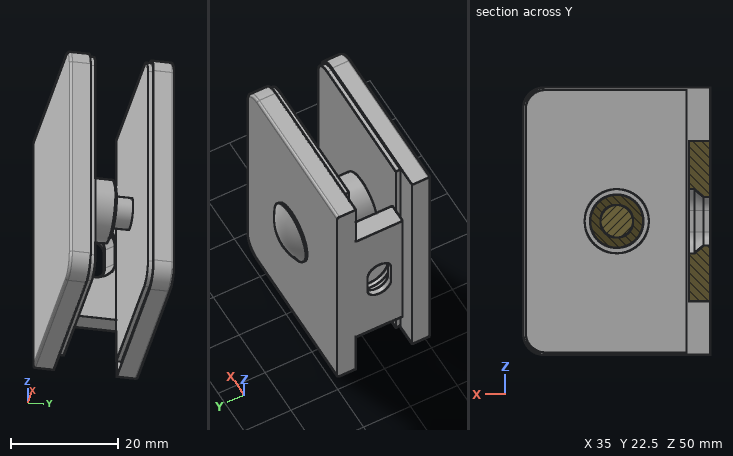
import cadquery as cq
import math

WIDTH = 35.0
HEIGHT = 50.0
PLATE_THICKNESS = 4.0
CORNER_RADIUS = 4.0
EDGE_ROUND = 0.5

GASKET_THICKNESS = 1.0
GASKET_INSET = 0.5
GASKET_START_X = 4.5
GLASS_GAP = 10.0

LUG_WIDTH = 4.0
LUG_HEIGHT = 30.0
LUG_LENGTH = 10.0
SLOT_LENGTH = 9.0
SLOT_WIDTH = 5.0
SLOT_LIP = 1.25
FLARE_DEPTH = 1.75
FLARE_MARGIN = 1.5

SHANK_DIAMETER = 6.0
COLLAR_DIAMETER = 12.0
COLLAR_LENGTH = 6.0
WASHER_DIAMETER = 10.0
WASHER_THICKNESS = 0.5
HEAD_DIAMETER = 12.0
HEAD_RIM = 0.4
HEAD_HEIGHT = 2.5

FRONT_GASKET_Y = PLATE_THICKNESS
COLLAR_Y = FRONT_GASKET_Y + GASKET_THICKNESS
WASHER_Y = COLLAR_Y + COLLAR_LENGTH
BACK_GASKET_Y = COLLAR_Y + GLASS_GAP
BACK_PLATE_Y = BACK_GASKET_Y + GASKET_THICKNESS
HEAD_Y = BACK_PLATE_Y + PLATE_THICKNESS

AXIS_X = WIDTH / 2
SLOT_CENTRE_Y = BACK_PLATE_Y - LUG_LENGTH / 2
FLARE_ANGLE = math.degrees(math.atan2(FLARE_MARGIN, FLARE_DEPTH))


def slab(start_x, end_x, height, start_y, thickness, corner_radius):
    """Slab centred on Z = 0 with its two +X corners rounded."""
    return (
        cq.Workplane("XY")
        .box(end_x - start_x, thickness, height, centered=(False, False, True))
        .translate((start_x, start_y, 0))
        .edges("|Y and >X")
        .fillet(corner_radius)
    )


def cylinder(diameter, start_y, length):
    """Cylinder on the screw axis, running toward +Y."""
    return (
        cq.Workplane("XZ", origin=(AXIS_X, start_y, 0))
        .circle(diameter / 2)
        .extrude(-length)
    )


def make_front_plate():
    plate = slab(0, WIDTH, HEIGHT, 0, PLATE_THICKNESS, CORNER_RADIUS)
    return plate.faces("<Y").edges().fillet(EDGE_ROUND)


def slot_outline(start_x, margin):
    """Upright slot in a YZ plane, enlarged by margin all round."""
    return (
        cq.Workplane("YZ", origin=(start_x, SLOT_CENTRE_Y, 0))
        .slot2D(SLOT_LENGTH + 2 * margin, SLOT_WIDTH + 2 * margin, 90)
    )


def make_lug_slot():
    """Cutter: a straight lip, a flare, then a wider straight stretch to the lug's inner face."""
    wide_start_x = SLOT_LIP + FLARE_DEPTH
    lip = slot_outline(0, 0).extrude(SLOT_LIP)
    flare = slot_outline(SLOT_LIP, 0).extrude(FLARE_DEPTH, taper=-FLARE_ANGLE)
    wide = slot_outline(wide_start_x, FLARE_MARGIN).extrude(LUG_WIDTH - wide_start_x)
    return lip.union(flare).union(wide)


def make_back_plate():
    plate = slab(0, WIDTH, HEIGHT, BACK_PLATE_Y, PLATE_THICKNESS, CORNER_RADIUS)
    plate = plate.faces(">Y").edges("not <X").fillet(EDGE_ROUND)
    lug = (
        cq.Workplane("XY")
        .box(LUG_WIDTH, LUG_LENGTH, LUG_HEIGHT, centered=(False, False, True))
        .translate((0, BACK_PLATE_Y - LUG_LENGTH, 0))
    )
    screw_hole = cylinder(SHANK_DIAMETER, BACK_PLATE_Y, PLATE_THICKNESS)
    return plate.union(lug).cut(make_lug_slot()).cut(screw_hole)


def make_gasket(start_y):
    return slab(
        GASKET_START_X,
        WIDTH - GASKET_INSET,
        HEIGHT - 2 * GASKET_INSET,
        start_y,
        GASKET_THICKNESS,
        CORNER_RADIUS - GASKET_INSET,
    )


def make_back_gasket():
    screw_hole = cylinder(SHANK_DIAMETER, BACK_GASKET_Y, GASKET_THICKNESS)
    return make_gasket(BACK_GASKET_Y).cut(screw_hole)


def make_collar():
    bore = cylinder(SHANK_DIAMETER, COLLAR_Y, COLLAR_LENGTH)
    return cylinder(COLLAR_DIAMETER, COLLAR_Y, COLLAR_LENGTH).cut(bore)


def make_washer():
    bore = cylinder(SHANK_DIAMETER, WASHER_Y, WASHER_THICKNESS)
    return cylinder(WASHER_DIAMETER, WASHER_Y, WASHER_THICKNESS).cut(bore)


def make_screw():
    """Shank down to the front gasket, with a rimmed dome head behind the back plate."""
    head_radius = HEAD_DIAMETER / 2
    dome_height = HEAD_HEIGHT - HEAD_RIM
    dome_radius = (head_radius**2 + dome_height**2) / (2 * dome_height)
    half_way = head_radius / 2
    half_way_drop = dome_radius - math.sqrt(dome_radius**2 - half_way**2)
    head = (
        cq.Workplane("XY", origin=(AXIS_X, HEAD_Y, 0))
        .lineTo(head_radius, 0)
        .lineTo(head_radius, HEAD_RIM)
        .threePointArc((half_way, HEAD_HEIGHT - half_way_drop), (0, HEAD_HEIGHT))
        .close()
        .revolve(360, (0, 0, 0), (0, 1, 0))
    )
    return head.union(cylinder(SHANK_DIAMETER, COLLAR_Y, HEAD_Y - COLLAR_Y))


front_plate = make_front_plate()
back_plate = make_back_plate()
front_gasket = make_gasket(FRONT_GASKET_Y)
back_gasket = make_back_gasket()
collar = make_collar()
washer = make_washer()
screw = make_screw()

result = cq.Compound.makeCompound([
    front_plate.solids().val(),
    back_plate.solids().val(),
    front_gasket.solids().val(),
    back_gasket.solids().val(),
    collar.solids().val(),
    washer.solids().val(),
    screw.solids().val(),
])